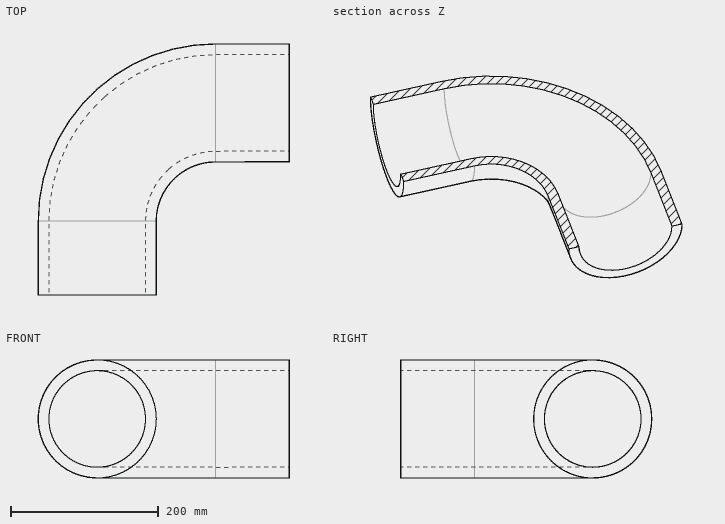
import cadquery as cq

outer_diameter = 160.0
wall_thickness = 14.6
bend_radius = 160.0
leg_length = 100.0
bend_angle = 90.0

outer_radius = outer_diameter / 2
inner_radius = outer_radius - wall_thickness


def pipe_ring(plane):
    """Return the annular pipe section sketched at the plane's origin."""
    return cq.Workplane(plane).circle(outer_radius).circle(inner_radius)


front_joint = cq.Plane(origin=(-bend_radius, 0, 0), xDir=(1, 0, 0), normal=(0, -1, 0))
side_joint = cq.Plane(origin=(0, bend_radius, 0), xDir=(0, 1, 0), normal=(1, 0, 0))


def make_bend():
    """Sweep the pipe section around the bend axis, from the front to the side joint."""
    axis_start = (bend_radius, 0)
    axis_end = (bend_radius, -1)
    return pipe_ring(front_joint).revolve(bend_angle, axis_start, axis_end)


def make_leg(joint):
    """Extrude a straight pipe outward from one joint of the bend."""
    return pipe_ring(joint).extrude(leg_length)


result = make_bend()
for joint in (front_joint, side_joint):
    result = result.union(make_leg(joint))